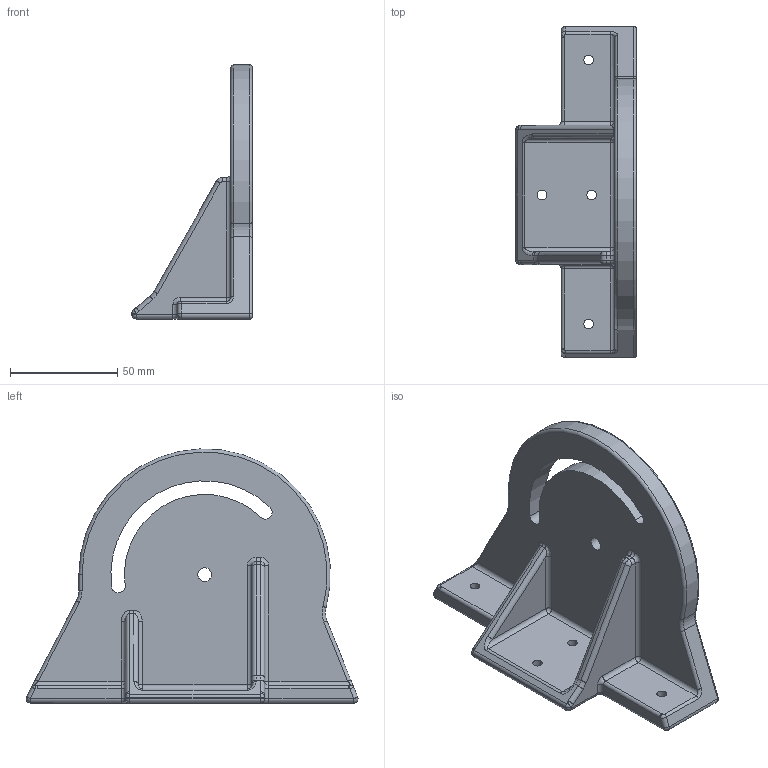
import cadquery as cq
import math

PLATE_THICKNESS = 10.0
PLATE_RADIUS = 58.75
PIVOT_HEIGHT = 60.0
PIVOT_DIAMETER = 6.35
FOOT_LENGTH = 155.09
LEFT_END = 83.45
RIGHT_END = LEFT_END - FOOT_LENGTH
LEFT_LEAN = math.radians(27.5)
RIGHT_LEAN = math.radians(22.0)
NECK_RADIUS = 10.0

SLOT_RADIUS = 40.64
SLOT_WIDTH = 6.35
SLOT_START = -7.5
SLOT_END = 134.2

FLANGE_DEPTH = 35.0
FLANGE_HEIGHT = 8.2

BRACKET_DEPTH = 56.16
BRACKET_LEFT = 37.0
BRACKET_RIGHT = -28.0
RIB_THICKNESS = 6.0
FLOOR_HEIGHT = 6.5
NOSE_HEIGHT = 3.6
NOSE_SLOPE = math.radians(40)
TALL_RIB_SLOPE = math.radians(60.5)
TALL_RIB_FOOT = 46.6
TALL_RIB_HEIGHT = 66.1
TALL_RIB_TIP_RADIUS = 3.0
TALL_RIB_FOOT_RADIUS = 8.0

SCREW_DIAMETER = 4.5
FLANGE_HOLE_X = -22.2
FLANGE_HOLE_YS = (67.6, -55.8)
BRACKET_HOLE_XS = (-44.0, -20.8)

FOOT_FILLET = 2.0
INNER_FILLET = 2.0
RIB_FILLET = 2.0
FRONT_FILLET = 1.5
BACK_FILLET = 1.0


def sharp_corner(end, lean):
    """Y at floor level of the sharp foot corner whose rounded form reaches Y = end."""
    return end - FOOT_FILLET + FOOT_FILLET * (math.tan(lean) + 1 / math.cos(lean))


LEFT_FOOT = sharp_corner(LEFT_END, LEFT_LEAN)
RIGHT_FOOT = -sharp_corner(-RIGHT_END, RIGHT_LEAN)
SHOULDER = (PLATE_RADIUS, (LEFT_FOOT - PLATE_RADIUS) / math.tan(LEFT_LEAN))
END_DISTANCE = -RIGHT_FOOT * math.cos(RIGHT_LEAN) - PIVOT_HEIGHT * math.sin(RIGHT_LEAN)
NECK_ANGLE = RIGHT_LEAN - math.acos(END_DISTANCE / PLATE_RADIUS)
HEAD_TOP = (0, PIVOT_HEIGHT + PLATE_RADIUS)
NECK = (-PLATE_RADIUS * math.cos(NECK_ANGLE), PIVOT_HEIGHT + PLATE_RADIUS * math.sin(NECK_ANGLE))

LEFT_RIB_INNER = BRACKET_LEFT - RIB_THICKNESS
RIGHT_RIB_INNER = BRACKET_RIGHT + RIB_THICKNESS
LEFT_RIB_MIDDLE = BRACKET_LEFT - RIB_THICKNESS / 2
RIGHT_RIB_MIDDLE = BRACKET_RIGHT + RIB_THICKNESS / 2
BRACKET_BACK = -PLATE_THICKNESS / 2
BRACKET_MIDDLE = (BRACKET_LEFT + BRACKET_RIGHT) / 2


def box(x0, x1, y0, y1, z0, z1):
    """Axis-aligned block between opposite corners."""
    return cq.Workplane("XY").box(x1 - x0, y1 - y0, z1 - z0, centered=False).translate((x0, y0, z0))


def edges_at(body, *points):
    """The edges of the body nearest to the given points."""
    edges = body.edges().vals()
    chosen = []
    for point in points:
        spot = cq.Vertex.makeVertex(*point)
        chosen.append(min(edges, key=lambda edge: edge.distance(spot)))
    return body.newObject(chosen)


def make_slab(depth):
    """Plate outline extruded forward from the back face, with both end faces blended into the head."""
    slab = (
        cq.Workplane("YZ")
        .moveTo(LEFT_FOOT, 0)
        .lineTo(*SHOULDER)
        .lineTo(PLATE_RADIUS, PIVOT_HEIGHT)
        .threePointArc(HEAD_TOP, NECK)
        .lineTo(RIGHT_FOOT, 0)
        .close()
        .extrude(-depth)
    )
    return edges_at(slab, (-depth / 2, *NECK), (-depth / 2, *SHOULDER)).fillet(NECK_RADIUS)


def point_at_height(foot, upper, height):
    """Point (Y, Z) at a given height on an end face rising from foot to the upper point."""
    return (foot + (upper[0] - foot) * height / upper[1], height)


def make_angle():
    """Upright plate with the foot flange in front of it."""
    above_flange = box(-FLANGE_DEPTH, -PLATE_THICKNESS, RIGHT_FOOT, LEFT_FOOT,
                       FLANGE_HEIGHT, PIVOT_HEIGHT + 2 * PLATE_RADIUS)
    angle = make_slab(FLANGE_DEPTH).cut(above_flange)
    angle = edges_at(angle, (-PLATE_THICKNESS, 0, FLANGE_HEIGHT)).fillet(INNER_FILLET)
    front_corners = [
        (-FLANGE_DEPTH, *point_at_height(foot, upper, FLANGE_HEIGHT / 2))
        for foot, upper in ((LEFT_FOOT, SHOULDER), (RIGHT_FOOT, NECK))
    ]
    angle = edges_at(angle, *front_corners).fillet(FOOT_FILLET)
    angle = edges_at(angle, (-PLATE_THICKNESS, *HEAD_TOP)).fillet(FRONT_FILLET)
    bracket_gap = box(-FLANGE_DEPTH, -PLATE_THICKNESS, RIGHT_RIB_MIDDLE, LEFT_RIB_MIDDLE,
                      FLOOR_HEIGHT, TALL_RIB_HEIGHT)
    return angle.cut(bracket_gap)


def nose_slope_height(x):
    """Height of the bracket's front slope at a given X."""
    return NOSE_HEIGHT + (x + BRACKET_DEPTH) * math.tan(NOSE_SLOPE)


def make_wedge():
    """Full-width bracket block under the front slope."""
    return (
        cq.Workplane("XZ", origin=(0, BRACKET_LEFT, 0))
        .moveTo(-BRACKET_DEPTH, 0)
        .lineTo(-BRACKET_DEPTH, NOSE_HEIGHT)
        .lineTo(BRACKET_BACK, nose_slope_height(BRACKET_BACK))
        .lineTo(BRACKET_BACK, 0)
        .close()
        .extrude(BRACKET_LEFT - BRACKET_RIGHT)
    )


def make_tall_rib():
    """Right rib, rising more steeply than the front slope to a flat tip."""
    foot = (-TALL_RIB_FOOT, nose_slope_height(-TALL_RIB_FOOT))
    tip_x = -TALL_RIB_FOOT + (TALL_RIB_HEIGHT - foot[1]) / math.tan(TALL_RIB_SLOPE)
    rib = (
        cq.Workplane("XZ", origin=(0, RIGHT_RIB_INNER, 0))
        .moveTo(-BRACKET_DEPTH, 0)
        .lineTo(-BRACKET_DEPTH, NOSE_HEIGHT)
        .lineTo(*foot)
        .lineTo(tip_x, TALL_RIB_HEIGHT)
        .lineTo(BRACKET_BACK, TALL_RIB_HEIGHT)
        .lineTo(BRACKET_BACK, 0)
        .close()
        .extrude(RIB_THICKNESS)
    )
    rib = edges_at(rib, (tip_x, RIGHT_RIB_MIDDLE, TALL_RIB_HEIGHT)).fillet(TALL_RIB_TIP_RADIUS)
    return edges_at(rib, (foot[0], RIGHT_RIB_MIDDLE, foot[1])).fillet(TALL_RIB_FOOT_RADIUS)


def make_bracket():
    """Sloped bracket with a pocket between a low rib and a tall rib."""
    pocket = box(-BRACKET_DEPTH, 0, RIGHT_RIB_INNER, LEFT_RIB_INNER, FLOOR_HEIGHT, TALL_RIB_HEIGHT)
    bracket = make_wedge().cut(pocket).union(make_tall_rib()).clean()

    floor_x = -BRACKET_DEPTH / 2
    floor_corners = [(floor_x, y, FLOOR_HEIGHT) for y in (LEFT_RIB_INNER, RIGHT_RIB_INNER)]
    bracket = edges_at(bracket, *floor_corners).fillet(INNER_FILLET)

    nose_corners = [(-BRACKET_DEPTH, y, NOSE_HEIGHT / 2) for y in (BRACKET_LEFT, BRACKET_RIGHT)]
    bracket = edges_at(bracket, *nose_corners).fillet(RIB_FILLET)

    lip_x = -BRACKET_DEPTH + (FLOOR_HEIGHT - NOSE_HEIGHT) / math.tan(NOSE_SLOPE)
    pocket_rim = (lip_x, BRACKET_MIDDLE, FLOOR_HEIGHT)
    bracket = edges_at(bracket, pocket_rim).fillet(RIB_FILLET)
    outer_rim = (-BRACKET_DEPTH, BRACKET_MIDDLE, NOSE_HEIGHT)
    return edges_at(bracket, outer_rim).fillet(RIB_FILLET)


def blend_bracket(body):
    """Round the inside corners between the bracket, the plate and the flange."""
    flange_middle = -(PLATE_THICKNESS + FLANGE_DEPTH) / 2
    corners = [(-PLATE_THICKNESS, BRACKET_MIDDLE, FLOOR_HEIGHT)]
    for side in (BRACKET_LEFT, BRACKET_RIGHT):
        corners.append((flange_middle, side, FLANGE_HEIGHT))
        corners.append((-PLATE_THICKNESS, side, 2 * FLANGE_HEIGHT))
    return edges_at(body, *corners).fillet(INNER_FILLET)


def round_foot(body):
    """Round the front and end edges of the underside, and the rim of the back face."""
    body = body.faces("<Z").edges("not(>X)").fillet(FOOT_FILLET)
    return body.faces(">X").edges().fillet(BACK_FILLET)


def cut_slot(body):
    """Curved slot around the pivot with round ends."""
    def at(radius, degrees):
        angle = math.radians(degrees)
        return (radius * math.cos(angle), PIVOT_HEIGHT + radius * math.sin(angle))

    inner = SLOT_RADIUS - SLOT_WIDTH / 2
    outer = SLOT_RADIUS + SLOT_WIDTH / 2
    middle = (SLOT_START + SLOT_END) / 2
    slot = (
        cq.Workplane("YZ")
        .moveTo(*at(outer, SLOT_START))
        .threePointArc(at(outer, middle), at(outer, SLOT_END))
        .tangentArcPoint(at(inner, SLOT_END), relative=False)
        .threePointArc(at(inner, middle), at(inner, SLOT_START))
        .tangentArcPoint(at(outer, SLOT_START), relative=False)
        .close()
        .extrude(-PLATE_THICKNESS)
    )
    return body.cut(slot)


def drill_holes(body):
    """Pivot hole through the plate and screw holes through the foot."""
    pivot = (
        cq.Workplane("YZ")
        .center(0, PIVOT_HEIGHT)
        .circle(PIVOT_DIAMETER / 2)
        .extrude(-PLATE_THICKNESS)
    )
    screw_spots = [(FLANGE_HOLE_X, y) for y in FLANGE_HOLE_YS]
    screw_spots += [(x, BRACKET_MIDDLE) for x in BRACKET_HOLE_XS]
    screws = (
        cq.Workplane("XY")
        .pushPoints(screw_spots)
        .circle(SCREW_DIAMETER / 2)
        .extrude(FLANGE_HEIGHT)
    )
    return body.cut(pivot).cut(screws)


part = blend_bracket(make_angle().union(make_bracket()))
part = round_foot(part)
part = cut_slot(part)
result = drill_holes(part)